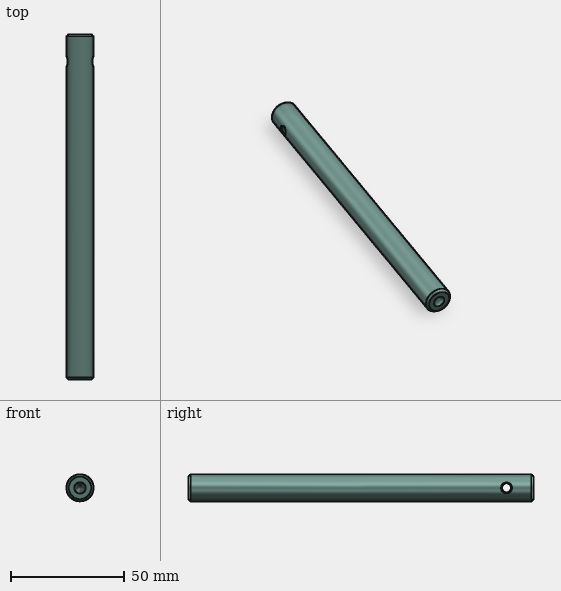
import cadquery as cq
import math

shaft_length = 152.4
shaft_diameter = 12.0
end_chamfer = 1.0

axial_hole_diameter = 5.0
axial_hole_depth = 15.2
drill_point_angle = 118.0

cross_hole_diameter = 4.0
cross_hole_chamfer = 0.5
cross_hole_from_end = 12.0

front_y = -shaft_length / 2
back_y = shaft_length / 2


def make_shaft():
    shaft = cq.Workplane("XZ").circle(shaft_diameter / 2).extrude(shaft_length / 2, both=True)
    return shaft.faces("<Y or >Y").chamfer(end_chamfer)


def make_axial_hole():
    """Revolve the half section of a drilled hole about the shaft axis."""
    radius = axial_hole_diameter / 2
    point_length = radius / math.tan(math.radians(drill_point_angle / 2))
    shoulder_y = front_y + axial_hole_depth
    return (
        cq.Workplane("XY")
        .moveTo(0, front_y)
        .lineTo(radius, front_y)
        .lineTo(radius, shoulder_y)
        .lineTo(0, shoulder_y + point_length)
        .close()
        .revolve(360, (0, 0, 0), (0, 1, 0))
    )


def drill_cross_hole(shaft):
    """Drill through along X and chamfer the curved edge at each mouth."""
    hole_y = back_y - cross_hole_from_end
    drill = (
        cq.Workplane("YZ")
        .center(hole_y, 0)
        .circle(cross_hole_diameter / 2)
        .extrude(shaft_diameter, both=True)
    )
    mouth_region = cq.selectors.BoxSelector(
        (-shaft_diameter, hole_y - cross_hole_diameter, -cross_hole_diameter),
        (shaft_diameter, hole_y + cross_hole_diameter, cross_hole_diameter),
        boundingbox=True,
    )
    return shaft.cut(drill).edges(mouth_region).edges("not |X").chamfer(cross_hole_chamfer)


result = drill_cross_hole(make_shaft().cut(make_axial_hole()))